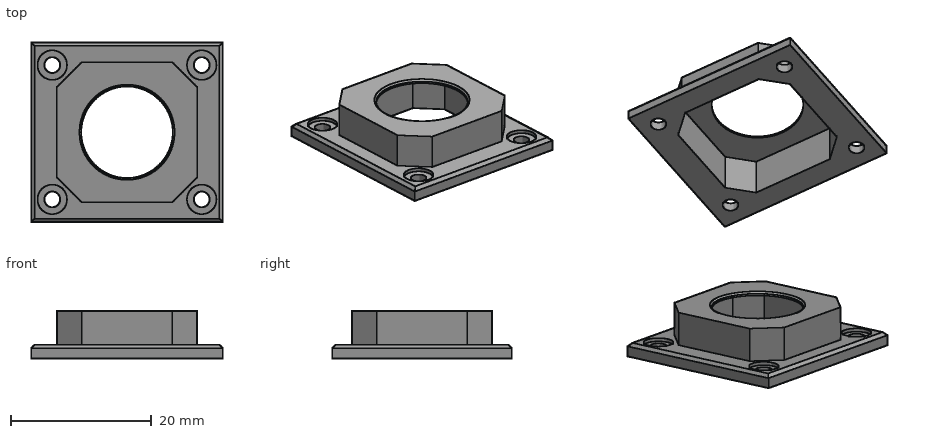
import cadquery as cq

plate_length = 27.23
plate_width = 25.51
plate_thickness = 2.0
plate_edge_chamfer = 0.5

total_height = 6.8
housing_side = 19.88
housing_corner_cut = 3.5
wall = 0.55
lip_thickness = 0.55

opening_diameter = 13.0
opening_chamfer = 0.27

screw_diameter = 2.2
counterbore_diameter = 4.2
counterbore_depth = 0.5
screw_spacing_x = 21.2
screw_spacing_y = 19.05


def octagonal_block(side, corner_cut, height):
    """Square block standing on Z = 0 with its four upright corners cut off."""
    block = cq.Workplane("XY").box(side, side, height, centered=(True, True, False))
    return block.edges("|Z").chamfer(corner_cut)


def make_plate():
    plate = cq.Workplane("XY").box(
        plate_length, plate_width, plate_thickness, centered=(True, True, False)
    )
    return plate.faces(">Z").edges().chamfer(plate_edge_chamfer)


def make_cavity():
    """Octagonal cavity, open at the bottom, leaving an even wall all round."""
    corner_cut = housing_corner_cut - wall * (2 - 2**0.5)
    return octagonal_block(housing_side - 2 * wall, corner_cut, total_height - lip_thickness)


def cut_opening(body):
    body = body.faces(">Z").workplane().hole(opening_diameter)
    return body.faces(">Z").edges("%CIRCLE").chamfer(opening_chamfer)


def cut_screw_holes(body):
    plate_top = cq.Workplane("XY", origin=(0, 0, plate_thickness))
    hole_centers = plate_top.rarray(screw_spacing_x, screw_spacing_y, 2, 2)
    holes = hole_centers.circle(screw_diameter / 2).extrude(-plate_thickness)
    counterbores = hole_centers.circle(counterbore_diameter / 2).extrude(-counterbore_depth)
    return body.cut(holes).cut(counterbores)


body = make_plate().union(octagonal_block(housing_side, housing_corner_cut, total_height))
body = cut_opening(body.cut(make_cavity()))
result = cut_screw_holes(body)